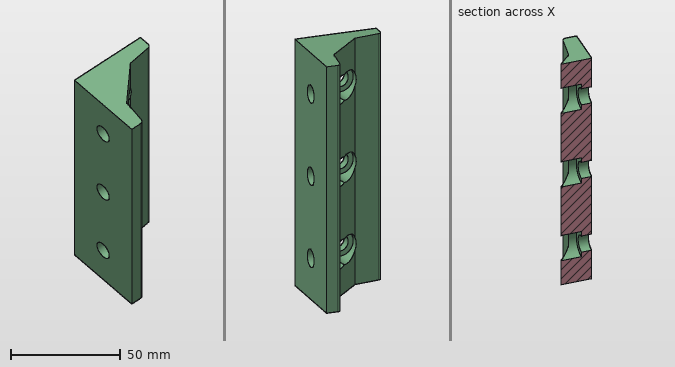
import cadquery as cq

length = 120.0
leg = length / 3
tip_thickness = 7.0
knee_thickness = 9.0
knee_distance = 26.0
tip_radius = 1.9

hole_diameter = 8.5
seat_diameter = 13.5
seat_height = 5.0
hole_count = 3

hole_pitch = length / hole_count
hole_offset = leg / 2


def angle_body():
    """Two tapered legs joined by a diagonal web, extruded along Z."""
    outline = [
        (0, 0),
        (leg, 0),
        (leg, tip_thickness),
        (knee_distance, knee_thickness),
        (knee_thickness, knee_distance),
        (tip_thickness, leg),
        (0, leg),
    ]
    body = cq.Workplane("XY").polyline(outline).close().extrude(length)
    inner_tips = (
        cq.selectors.NearestToPointSelector((leg, tip_thickness, length / 2))
        + cq.selectors.NearestToPointSelector((tip_thickness, leg, length / 2))
    )
    return body.edges(inner_tips).fillet(tip_radius)


def screw_cutter(origin, direction):
    """Through hole with a larger bore opening towards the inside of the angle."""
    hole = cq.Solid.makeCylinder(hole_diameter / 2, leg, origin, direction)
    seat = cq.Solid.makeCylinder(
        seat_diameter / 2, leg - seat_height, origin + direction * seat_height, direction
    )
    return hole.fuse(seat)


result = angle_body()
for index in range(hole_count):
    height = (index + 0.5) * hole_pitch
    result = result.cut(screw_cutter(cq.Vector(hole_offset, 0, height), cq.Vector(0, 1, 0)))
    result = result.cut(screw_cutter(cq.Vector(0, hole_offset, height), cq.Vector(1, 0, 0)))